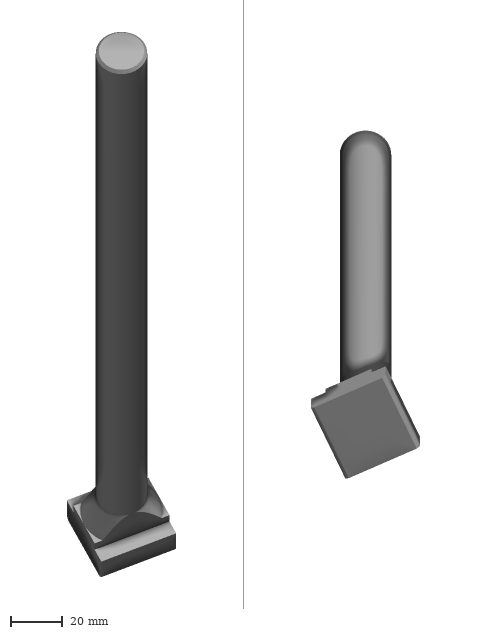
import cadquery as cq

head_side = 32.0
head_thickness = 12.0
head_chamfer = 1.5
total_height = 327.0
shank_diameter = 20.0
shank_end_chamfer = 1.2
neck_width = 19.6
neck_straight_height = 4.3
neck_length = 15.0

shank_radius = shank_diameter / 2
neck_straight_top = head_thickness + neck_straight_height
neck_top = head_thickness + neck_length
cone_height = neck_top - neck_straight_top
cone_base_radius = head_side / 2
cone_top_radius = neck_width / 2


def make_block(width, height, bottom):
    """Block of the given X width, as deep in Y as the head, standing at height bottom."""
    return (
        cq.Workplane("XY", origin=(0, 0, bottom))
        .box(width, head_side, height, centered=(True, True, False))
    )


def make_head():
    """Square head with the two bottom edges along Y chamfered."""
    head = make_block(head_side, head_thickness, 0)
    return head.faces("<Z").edges("|Y").chamfer(head_chamfer)


def make_neck():
    """Slot-guiding neck: a straight block, then a cone trimmed to the same width."""
    straight_part = make_block(neck_width, neck_straight_height, head_thickness)
    cone_base = cq.Vector(0, 0, neck_straight_top)
    cone = cq.Solid.makeCone(cone_base_radius, cone_top_radius, cone_height, pnt=cone_base)
    trimmed_cone = make_block(neck_width, cone_height, neck_straight_top).intersect(cq.Workplane(cone))
    return straight_part.union(trimmed_cone)


def make_shank():
    """Round shank with a chamfered free end."""
    shank = (
        cq.Workplane("XY", origin=(0, 0, neck_top))
        .circle(shank_radius)
        .extrude(total_height - neck_top)
    )
    return shank.faces(">Z").edges().chamfer(shank_end_chamfer)


result = make_head().union(make_neck()).union(make_shank())